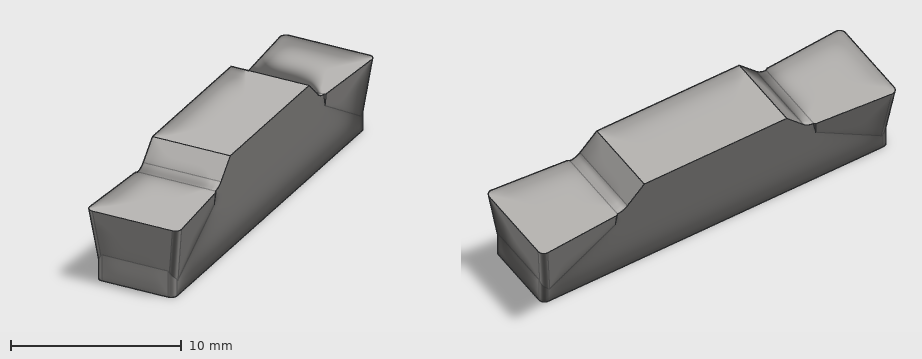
import cadquery as cq
import math

length = 24.75
height = 6.14

shank_width = 5.15
shank_length = 24.05
ridge_length = 9.9
ridge_slope = 45.0
valley_radius = 1.0
corner_radius = 0.4

rake_height = 4.68
relief_angle = 6.7
nose_width = 6.14
side_taper = 4.2
head_back = 6.93
back_angle = 55.0
back_overlap = 0.5


def make_shank():
    """Raised middle ridge that slopes down to the two rake faces."""
    half_length = shank_length / 2
    half_ridge = ridge_length / 2
    slope_run = (height - rake_height) / math.tan(math.radians(ridge_slope))
    half_valley = half_ridge + slope_run
    shank = (
        cq.Workplane("YZ")
        .polyline([
            (-half_length, 0),
            (half_length, 0),
            (half_length, rake_height),
            (half_valley, rake_height),
            (half_ridge, height),
            (-half_ridge, height),
            (-half_valley, rake_height),
            (-half_length, rake_height),
        ])
        .close()
        .extrude(shank_width / 2, both=True)
    )
    shank = shank.edges("|Z").fillet(corner_radius)
    for y in (-half_valley, half_valley):
        shank = shank.edges(cq.NearestToPointSelector((0, y, rake_height))).fillet(valley_radius)
    return shank


def make_head():
    """Cutting head at +Y, with relief on its front, sides and short rear faces."""
    front = length / 2
    half_nose = nose_width / 2
    half_back = half_nose - (front - head_back) * math.tan(math.radians(side_taper))
    inner_half = half_back - back_overlap
    inner_back = head_back - back_overlap * math.tan(math.radians(back_angle))
    head = (
        cq.Workplane("XY", origin=(0, 0, rake_height))
        .polyline([
            (-half_nose, front),
            (-half_back, head_back),
            (-inner_half, inner_back),
            (inner_half, inner_back),
            (half_back, head_back),
            (half_nose, front),
        ])
        .close()
        .extrude(-rake_height, taper=relief_angle)
    )
    for x in (-half_nose, half_nose):
        corner = cq.NearestToPointSelector((x, front, rake_height / 2))
        head = head.edges("not #Z").edges(corner).fillet(corner_radius)
    return head


head = make_head()
result = make_shank().union(head).union(head.mirror("XZ"))